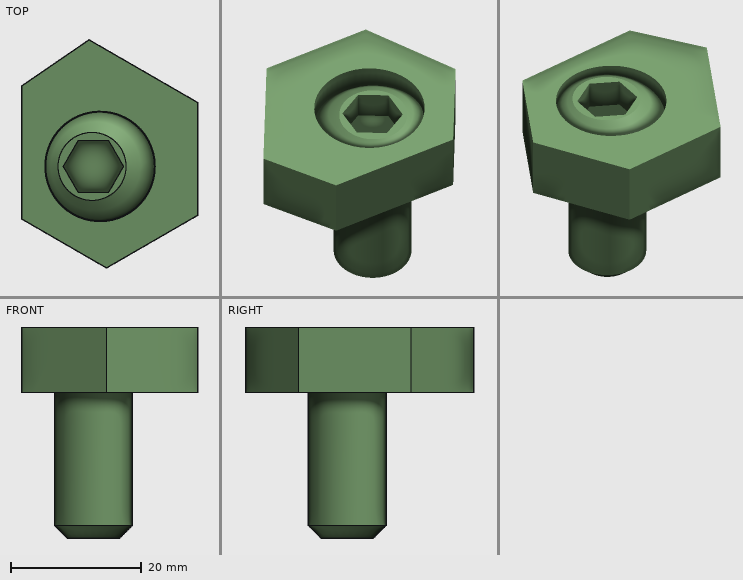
import cadquery as cq
import math


PLATE_THICKNESS = 10.0
NEAREST_SIDE = 12.0
FARTHEST_SIDE = 17.0
SIDE_DIRECTIONS = [180, 240, 300, 0, 60, 124.4]
SIDE_STEP = (FARTHEST_SIDE - NEAREST_SIDE) / (len(SIDE_DIRECTIONS) - 1)

POCKET_RADIUS = 8.47
POCKET_DEPTH = 7.0
HEAD_CLEARANCE = 0.15
HEAD_RADIUS = POCKET_RADIUS - HEAD_CLEARANCE
HEAD_TOP_Z = -0.35
DOME_RADIUS = 12.05
DOME_FLAT_RADIUS = 5.22
DOME_CENTER_X = -1.23
DOME_CENTER_Z = HEAD_TOP_Z - math.sqrt(DOME_RADIUS**2 - DOME_FLAT_RADIUS**2)

SHANK_RADIUS = 6.0
SHANK_X = -1.0
SHANK_TIP_Z = -32.35
TIP_CHAMFER = 2.0

SOCKET_ACROSS_FLATS = 8.02
SOCKET_ACROSS_CORNERS = SOCKET_ACROSS_FLATS / math.cos(math.radians(30))
SOCKET_DEPTH = 4.55


def corner_between(distance_a, direction_a, distance_b, direction_b):
    """Point where two sides, each given by distance and facing direction, cross."""
    a = math.radians(direction_a)
    b = math.radians(direction_b)
    turn = math.sin(b - a)
    x = (distance_a * math.sin(b) - distance_b * math.sin(a)) / turn
    y = (distance_b * math.cos(a) - distance_a * math.cos(b)) / turn
    return x, y


def make_plate():
    """Eccentric hexagonal plate with a head pocket and an offset shank hole."""
    sides = [(NEAREST_SIDE + i * SIDE_STEP, angle) for i, angle in enumerate(SIDE_DIRECTIONS)]
    corners = [corner_between(*sides[i - 1], *sides[i]) for i in range(len(sides))]
    blank = cq.Workplane("XY").polyline(corners).close().extrude(-PLATE_THICKNESS)
    pocket = cq.Workplane("XY").circle(POCKET_RADIUS).extrude(-POCKET_DEPTH)
    shank_hole = cq.Workplane("XY").center(SHANK_X, 0).circle(SHANK_RADIUS).extrude(-PLATE_THICKNESS)
    return blank.cut(pocket).cut(shank_hole)


def make_head():
    """Round head under a flat-topped dome that is off the head's own centre."""
    cylinder = (
        cq.Workplane("XY", origin=(0, 0, -POCKET_DEPTH))
        .circle(HEAD_RADIUS)
        .extrude(POCKET_DEPTH + HEAD_TOP_Z)
    )
    dome = cq.Workplane("XY").sphere(DOME_RADIUS).translate((DOME_CENTER_X, 0, DOME_CENTER_Z))
    return cylinder.intersect(dome)


def make_shank():
    """Shank below the head seat, with a chamfered tip."""
    return (
        cq.Workplane("XY", origin=(SHANK_X, 0, SHANK_TIP_Z))
        .circle(SHANK_RADIUS)
        .extrude(-POCKET_DEPTH - SHANK_TIP_Z)
        .faces("<Z")
        .chamfer(TIP_CHAMFER)
    )


def make_screw():
    """Eccentric screw with a hexagon socket in line with its shank."""
    socket = (
        cq.Workplane("XY", origin=(SHANK_X, 0, HEAD_TOP_Z))
        .polygon(6, SOCKET_ACROSS_CORNERS)
        .extrude(-SOCKET_DEPTH)
    )
    return make_head().union(make_shank()).cut(socket)


plate = make_plate()
screw = make_screw()

result = cq.Compound.makeCompound([plate.val(), screw.val()])